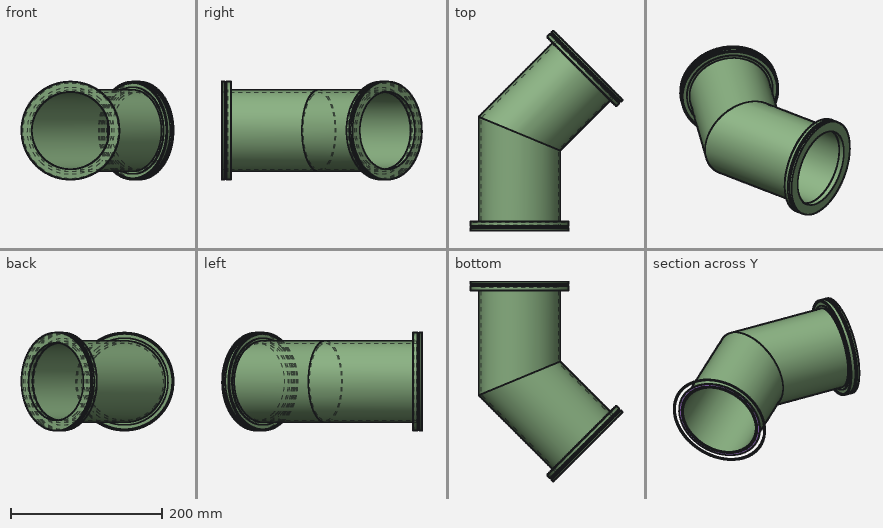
import cadquery as cq
import math


bend_angle = 45.0
leg_length = 128.0

pipe_outer_radius = 54.0
pipe_bore_radius = 51.0

flange_radius = 65.0
flange_bore_radius = 51.3
flange_thickness = 12.0
rim_chamfer = 0.5
socket_depth = 4.5

rim_groove_depth = 1.6
rim_groove_centre = 4.75

recess_inner_radius = 57.5
recess_outer_radius = 63.0
recess_depth = 1.0

flange_back = leg_length - flange_thickness
pipe_end = flange_back + socket_depth
rim_groove_position = leg_length - rim_groove_centre

bend = math.radians(bend_angle)
inlet_direction = cq.Vector(0, -1, 0)
outlet_direction = cq.Vector(math.sin(bend), math.cos(bend), 0)

z_axis = cq.Vector(0, 0, 1)


def make_pipe(direction, other_direction):
    """Straight tube from the mitre plane to the bottom of the flange socket."""
    mitre_overrun = pipe_outer_radius * math.tan(bend / 2)
    leg_plane = cq.Plane(origin=(0, 0, 0), xDir=z_axis, normal=direction)
    tube = (
        cq.Workplane(leg_plane)
        .workplane(offset=-mitre_overrun)
        .circle(pipe_outer_radius)
        .circle(pipe_bore_radius)
        .extrude(mitre_overrun + pipe_end)
    )

    mitre_plane = cq.Plane(origin=(0, 0, 0), xDir=z_axis, normal=direction - other_direction)
    block_size = 4 * leg_length
    leg_side = cq.Workplane(mitre_plane).rect(block_size, block_size).extrude(block_size)
    return tube.intersect(leg_side)


def make_flange(direction):
    """Ring revolved about the leg axis; points are (radius, distance along the leg)."""
    profile = [
        (flange_bore_radius, leg_length),
        (flange_radius, leg_length),
        (flange_radius, rim_groove_position + rim_groove_depth),
        (flange_radius - rim_groove_depth, rim_groove_position),
        (flange_radius, rim_groove_position - rim_groove_depth),
        (flange_radius, flange_back + rim_chamfer),
        (flange_radius - rim_chamfer, flange_back),
        (recess_outer_radius, flange_back),
        (recess_outer_radius, flange_back + recess_depth),
        (recess_inner_radius, flange_back + recess_depth),
        (recess_inner_radius, flange_back),
        (pipe_outer_radius, flange_back),
        (pipe_outer_radius, pipe_end),
        (flange_bore_radius, pipe_end),
    ]
    section_plane = cq.Plane(origin=(0, 0, 0), xDir=z_axis, normal=z_axis.cross(direction))
    return cq.Workplane(section_plane).polyline(profile).close().revolve(360, (0, 0), (0, 1))


bodies = []
for leg, other_leg in (
    (inlet_direction, outlet_direction),
    (outlet_direction, inlet_direction),
):
    pipe = make_pipe(leg, other_leg)
    flange = make_flange(leg)
    bodies += [pipe.solids().val(), flange.solids().val()]

result = cq.Compound.makeCompound(bodies)